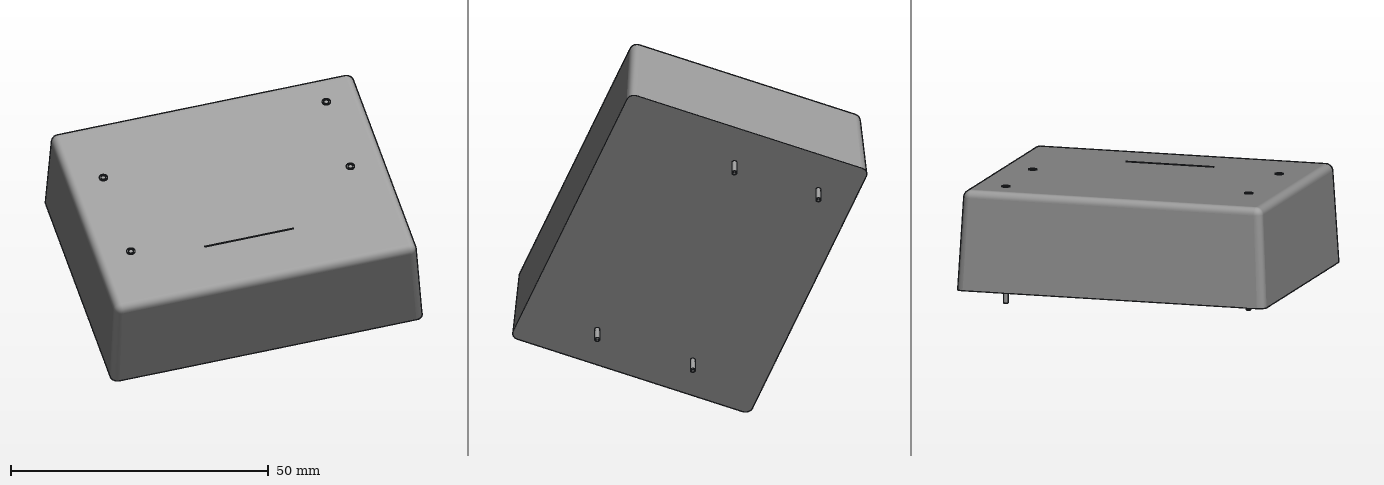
import cadquery as cq
import math

CASE_WIDTH = 50.0
CASE_LENGTH = 62.8
CASE_HEIGHT = 19.6
DRAFT_ANGLE = 3.0
EDGE_RADIUS = 1.5

PIN_DIAMETER = 1.0
PIN_LENGTH = 3.5
PIN_CHAMFER = 0.2
PIN_ROW_Y = 23.5
INPUT_PIN_X = (-17.5, 0.0)
OUTPUT_PIN_X = (-10.0, 10.0)
PIN_POSITIONS = [(x, PIN_ROW_Y) for x in INPUT_PIN_X] + [(x, -PIN_ROW_Y) for x in OUTPUT_PIN_X]

MARK_HEIGHT = 0.1
RING_OUTER_DIAMETER = 1.65
RING_INNER_DIAMETER = PIN_DIAMETER
RULE_WIDTH = 0.1
RULE_LENGTH = 17.85
RULE_CENTER = (12.7, -0.45)


def make_case():
    """Block tapering towards the top, rounded on its four corners and its top edge."""
    inset = CASE_HEIGHT * math.tan(math.radians(DRAFT_ANGLE))
    block = (
        cq.Workplane("XY")
        .rect(CASE_WIDTH, CASE_LENGTH)
        .workplane(offset=CASE_HEIGHT)
        .rect(CASE_WIDTH - 2 * inset, CASE_LENGTH - 2 * inset)
        .loft(ruled=True)
    )
    return block.edges("not <Z").fillet(EDGE_RADIUS)


def make_pins():
    """Pins hanging from the underside, with chamfered tips."""
    return (
        cq.Workplane("XY")
        .pushPoints(PIN_POSITIONS)
        .circle(PIN_DIAMETER / 2)
        .extrude(-PIN_LENGTH)
        .faces("<Z")
        .chamfer(PIN_CHAMFER)
    )


def make_pin_rings():
    """Raised ring on the top face above each pin."""
    return (
        cq.Workplane("XY", origin=(0, 0, CASE_HEIGHT))
        .pushPoints(PIN_POSITIONS)
        .circle(RING_OUTER_DIAMETER / 2)
        .circle(RING_INNER_DIAMETER / 2)
        .extrude(MARK_HEIGHT)
    )


def make_rule():
    """Thin raised rule lying along Y on the top face."""
    return (
        cq.Workplane("XY", origin=(0, 0, CASE_HEIGHT))
        .center(*RULE_CENTER)
        .rect(RULE_WIDTH, RULE_LENGTH)
        .extrude(MARK_HEIGHT)
    )


result = make_case().union(make_pins()).union(make_pin_rings()).union(make_rule())